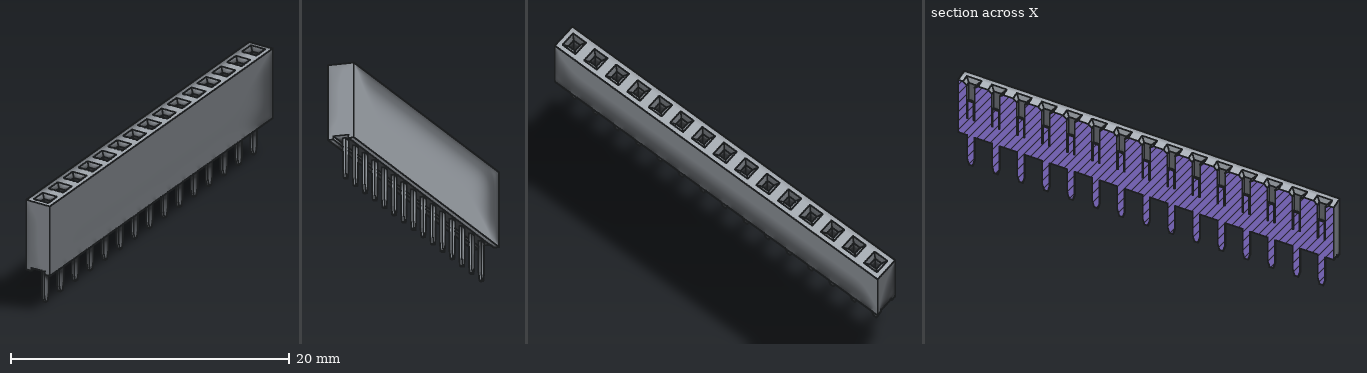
import cadquery as cq

positions = 15
housing_length = 30.0
pitch = housing_length / positions
housing_width = 2.0
overall_height = 8.3
tail_length = 2.7
housing_height = overall_height - tail_length

rail_width = 0.42
channel_depth = 0.25

funnel_mouth = 1.2
cavity_width = 0.6
funnel_depth = (funnel_mouth - cavity_width) / 2
cavity_depth = 3.6
cavity_floor_z = housing_height - cavity_depth

contact_thickness = 0.2
blade_width = 0.48
blade_height = 1.8
tail_width = 0.6
tip_width = 0.3
tip_length = 0.57


def housing():
    """Plain block with the underside channel."""
    block = cq.Workplane("XY").box(
        housing_width, housing_length, housing_height, centered=(True, True, False)
    )
    channel = cq.Workplane("XY").box(
        housing_width - 2 * rail_width, housing_length, channel_depth, centered=(True, True, False)
    )
    return block.cut(channel)


def cavity():
    """Funnel mouth above a square shaft, centred on the Z axis."""
    funnel = (
        cq.Workplane("XY", origin=(0, 0, housing_height))
        .rect(funnel_mouth, funnel_mouth)
        .workplane(offset=-funnel_depth)
        .rect(cavity_width, cavity_width)
        .loft(ruled=True)
    )
    shaft = (
        cq.Workplane("XY", origin=(0, 0, cavity_floor_z))
        .rect(cavity_width, cavity_width)
        .extrude(cavity_depth - funnel_depth)
    )
    return funnel.union(shaft)


def contact():
    """Blade inside the cavity joined to the tail below, centred on the Z axis."""
    blade = (
        cq.Workplane("XY", origin=(0, 0, cavity_floor_z))
        .rect(contact_thickness, blade_width)
        .extrude(blade_height)
    )
    taper_start_z = tip_length - tail_length
    tail = (
        cq.Workplane("YZ")
        .moveTo(-tail_width / 2, cavity_floor_z)
        .lineTo(-tail_width / 2, taper_start_z)
        .lineTo(-tip_width / 2, -tail_length)
        .lineTo(tip_width / 2, -tail_length)
        .lineTo(tail_width / 2, taper_start_z)
        .lineTo(tail_width / 2, cavity_floor_z)
        .close()
        .extrude(contact_thickness / 2, both=True)
    )
    return tail.union(blade)


cavity_shape = cavity()
contact_shape = contact()

result = housing()
for position in range(positions):
    y = (position - (positions - 1) / 2) * pitch
    result = result.cut(cavity_shape.translate((0, y, 0)))
    result = result.union(contact_shape.translate((0, y, 0)))